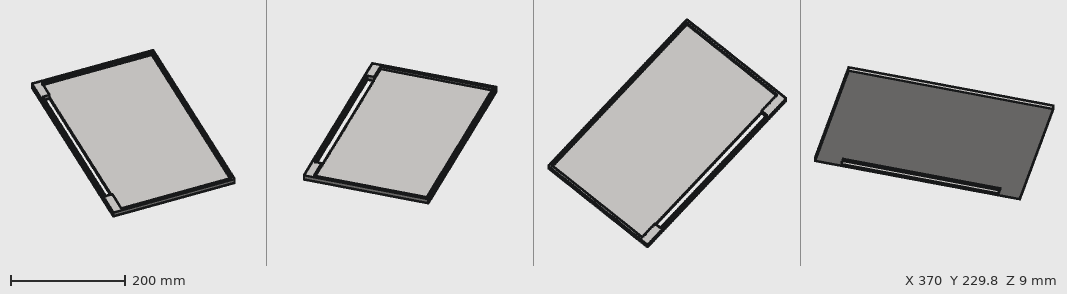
import cadquery as cq

length = 370.0
width = 229.8
height = 9.0

side_rim = 5.0
back_rim = 4.5
front_band = 17.0
recess_depth = 5.5

slot_left = 39.5
slot_right = 323.8
front_rim = 4.5


def box_between(x_min, x_max, y_min, y_max, z_min, z_max):
    """Box spanning the given limits, measured from the front left bottom corner."""
    size = (x_max - x_min, y_max - y_min, z_max - z_min)
    return cq.Workplane("XY").box(*size, centered=False).translate((x_min, y_min, z_min))


frame = box_between(0, length, 0, width, 0, height)
recess = box_between(
    side_rim, length - side_rim, front_band, width - back_rim, height - recess_depth, height
)
slot = box_between(slot_left, slot_right, front_rim, front_band, 0, height)

result = frame.cut(recess).cut(slot).translate((-length / 2, -width / 2, 0))